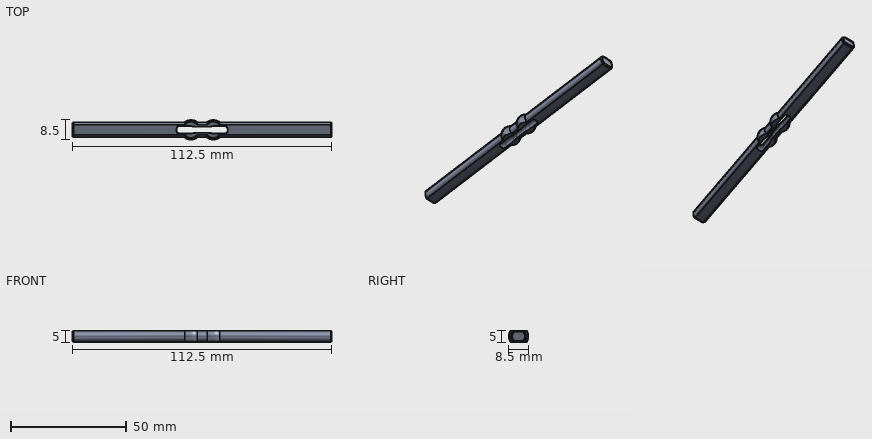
import cadquery as cq

length = 112.5
bar_diameter = 6.6
thickness = 5.0
end_chamfer = 0.6

ball_diameter = 8.5
ball_offset = 4.8

slot_length = 22.0
slot_width = 3.2
slot_corner_radius = 1.1
waist_width = 2.5
waist_length = 5.6
taper_end = 5.1


def flat_slab():
    """Everything between the two flats, used to trim the round shapes."""
    return cq.Workplane("XY").box(length, ball_diameter, thickness)


def bar():
    rod = cq.Workplane("YZ").circle(bar_diameter / 2).extrude(length / 2, both=True)
    return rod.intersect(flat_slab()).faces("<X or >X").chamfer(end_chamfer)


def ball(center_x):
    sphere = cq.Workplane("XY").sphere(ball_diameter / 2).translate((center_x, 0, 0))
    return sphere.intersect(flat_slab())


def waisted_slot():
    """Slot that tapers from full width near the ball centers down to the waist."""
    half_width = slot_width / 2
    half_waist = waist_width / 2
    upper_edge = [
        (-slot_length / 2, half_width),
        (-taper_end, half_width),
        (-waist_length / 2, half_waist),
        (waist_length / 2, half_waist),
        (taper_end, half_width),
        (slot_length / 2, half_width),
    ]
    lower_edge = [(x, -y) for x, y in reversed(upper_edge)]
    cutter = cq.Workplane("XY").polyline(upper_edge + lower_edge).close()
    cutter = cutter.extrude(thickness / 2, both=True)
    return cutter.faces("<X or >X").edges("|Z").fillet(slot_corner_radius)


result = bar()
for center_x in (-ball_offset, ball_offset):
    result = result.union(ball(center_x))
result = result.cut(waisted_slot())